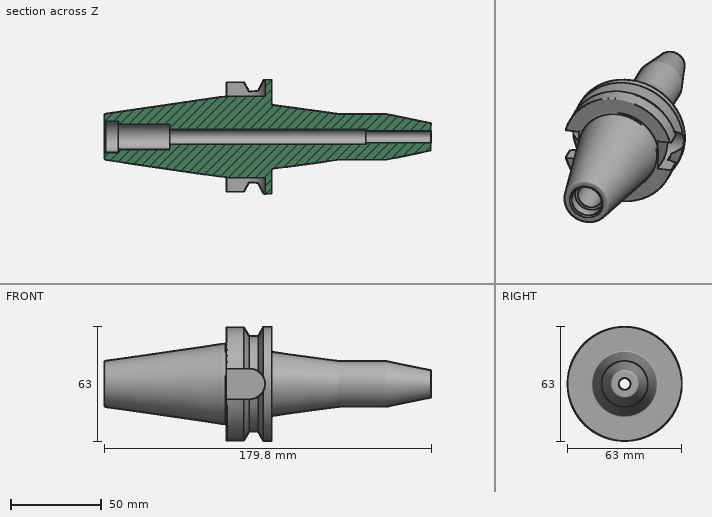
import cadquery as cq
import math

total_length = 179.8

gauge_diameter = 44.5
shank_end_diameter = 25.4
taper_ratio = 7 / 24
taper_end_x = (gauge_diameter - shank_end_diameter) / taper_ratio
shank_end_fillet = 1.5

flange_diameter = 63.0
rear_rim_diameter = 62.5
flange_start_x = 67.2
flange_end_x = 92.2
groove_diameter = 52.9
groove_centre_x = 82.2
groove_floor_width = 5.0
groove_wall_width = 2.9
flange_edge_fillet = 0.5
flange_root_fillet = 0.7

root_arc_inset = flange_root_fillet * (1 - math.sqrt(0.5))

nose_root_diameter = 35.2
nose_neck_diameter = 25.4
neck_start_x = 129.1
neck_end_x = 155.0
tip_diameter = 15.1
tip_fillet = 0.9

counterbore_diameter = 17.0
counterbore_depth = 8.0
counterbore_chamfer = 0.9
thread_diameter = 13.8
thread_end_x = 36.0
coolant_diameter = 8.0
coolant_end_x = 143.8
tool_bore_diameter = 6.3

slot_width = 16.7
slot_end_x = 88.5
slot_floor_y = 22.5


def revolve_about_x(profile):
    """Close a profile of (x, radius) points with a straight line and turn it about X."""
    return profile.close().revolve(360, (0, 0, 0), (1, 0, 0))


def cylinder_along_x(diameter, start_x, end_x):
    return cq.Workplane("YZ", origin=(start_x, 0, 0)).circle(diameter / 2).extrude(end_x - start_x)


def make_shank():
    shank = revolve_about_x(
        cq.Workplane("XY")
        .lineTo(0, shank_end_diameter / 2)
        .lineTo(taper_end_x, gauge_diameter / 2)
        .lineTo(flange_start_x - flange_root_fillet, gauge_diameter / 2)
        .threePointArc(
            (flange_start_x - root_arc_inset, gauge_diameter / 2 + root_arc_inset),
            (flange_start_x, gauge_diameter / 2 + flange_root_fillet),
        )
        .lineTo(flange_start_x, 0)
    )
    return shank.faces("<X").edges().fillet(shank_end_fillet)


def make_flange():
    rear_rim = cylinder_along_x(rear_rim_diameter, flange_start_x, groove_centre_x)
    rear_rim = rear_rim.faces("<X").edges().fillet(flange_edge_fillet)
    front_rim = cylinder_along_x(flange_diameter, groove_centre_x, flange_end_x)
    front_rim = front_rim.faces(">X").edges().fillet(flange_edge_fillet)
    flange = rear_rim.union(front_rim)
    floor_half = groove_floor_width / 2
    mouth_half = floor_half + groove_wall_width
    groove = (
        cq.Workplane("XY")
        .moveTo(groove_centre_x - mouth_half, flange_diameter / 2)
        .lineTo(groove_centre_x - floor_half, groove_diameter / 2)
        .lineTo(groove_centre_x + floor_half, groove_diameter / 2)
        .lineTo(groove_centre_x + mouth_half, flange_diameter / 2)
    )
    return flange.cut(revolve_about_x(groove))


def make_nose():
    nose = revolve_about_x(
        cq.Workplane("XY")
        .moveTo(flange_end_x, 0)
        .lineTo(flange_end_x, nose_root_diameter / 2 + flange_root_fillet)
        .threePointArc(
            (flange_end_x + root_arc_inset, nose_root_diameter / 2 + root_arc_inset),
            (flange_end_x + flange_root_fillet, nose_root_diameter / 2),
        )
        .lineTo(neck_start_x, nose_neck_diameter / 2)
        .lineTo(neck_end_x, nose_neck_diameter / 2)
        .lineTo(total_length, tip_diameter / 2)
        .lineTo(total_length, 0)
    )
    return nose.faces(">X").edges().fillet(tip_fillet)


def make_bore():
    mouth_radius = counterbore_diameter / 2 + counterbore_chamfer
    return revolve_about_x(
        cq.Workplane("XY")
        .lineTo(0, mouth_radius)
        .lineTo(counterbore_chamfer, counterbore_diameter / 2)
        .lineTo(counterbore_depth, counterbore_diameter / 2)
        .lineTo(counterbore_depth, thread_diameter / 2)
        .lineTo(thread_end_x, thread_diameter / 2)
        .lineTo(thread_end_x, coolant_diameter / 2)
        .lineTo(coolant_end_x, coolant_diameter / 2)
        .lineTo(coolant_end_x, tool_bore_diameter / 2)
        .lineTo(total_length, tool_bore_diameter / 2)
        .lineTo(total_length, 0)
    )


def make_drive_slot(side):
    """Cutter for one slot; side is -1 for the -Y slot and +1 for the +Y slot."""
    half_width = slot_width / 2
    arc_start_x = slot_end_x - half_width
    return (
        cq.Workplane("XZ")
        .workplane(offset=-side * slot_floor_y)
        .moveTo(flange_start_x, -half_width)
        .lineTo(arc_start_x, -half_width)
        .tangentArcPoint((slot_end_x, 0), relative=False)
        .tangentArcPoint((arc_start_x, half_width), relative=False)
        .lineTo(flange_start_x, half_width)
        .close()
        .extrude(-side * flange_diameter / 2)
    )


result = make_shank().union(make_flange()).union(make_nose()).cut(make_bore())
for side in (-1, 1):
    result = result.cut(make_drive_slot(side))